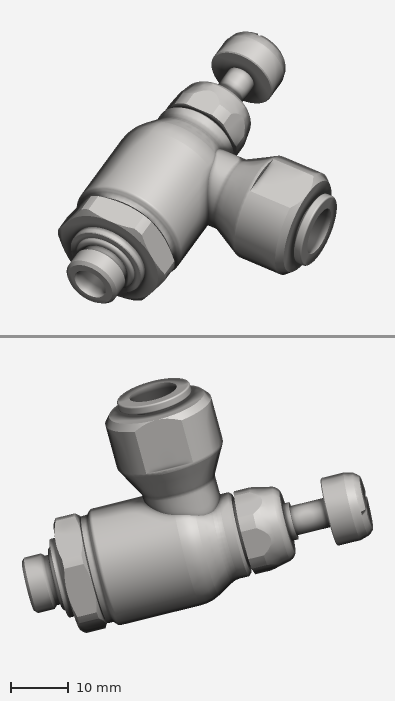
import cadquery as cq
import math


thread_radius = 4.95
thread_chamfer = 0.55
thread_relief_radius = 4.4
thread_top_y = 3.5
relief_start_y = thread_top_y + thread_radius - thread_relief_radius
seal_ring_radius = 5.0
seal_section_radius = 0.7
washer_radius = 7.0
washer_chamfer = 0.1
washer_y = 5.55

hex_flats = 19.1
hex_corner_radius = 10.6
hex_bottom_y = 7.0
hex_top_y = 11.7
hex_chamfer_angle = 30

groove_radius = 8.85
groove_top_y = 11.9
base_radius = 9.55
base_flare_angle = math.radians(48)
base_flare_fillet = 0.5
base_flare_round = 0.7
body_radius = 10.4
body_bottom_y = 14.05
body_top_y = 28.4
shoulder_angle = math.radians(30)
shoulder_round = 6.9
shoulder_fillet = 2.9
neck_radius = 7.5
neck_top_y = 38.2
neck_chamfer = 0.5

nut_groove_radius = 5.85
nut_flats = 14.1
nut_corner_radius = neck_radius
nut_bottom_y = 38.7
nut_taper_y = 41.5
nut_shoulder_radius = 6.6
nut_shoulder_y = 45.4
nut_crown_radius = 5.6
nut_top_y = 46.4
nut_crown_bulge = 0.1

collar_radius = 3.3
collar_top_y = 47.5
stem_radius = 2.6
stem_chamfer = 0.25
knob_radius = 6.05
knob_bottom_y = 53.85
knob_chamfer = 0.2
knob_taper_y = 58.0
knob_shoulder_radius = 5.6
knob_shoulder_y = 59.55
knob_crown_radius = 4.8
knob_crown_bulge = 0.05
knob_top_y = 60.5
slot_width = 0.85
slot_depth = 0.85

branch_y = 29.8
branch_radius = 6.55
flare_start_x = 11.25
flare_angle = math.radians(28)
flare_fillet = 1.2
socket_radius = 9.5
socket_chamfer_x = 25.35
socket_end_x = 26.5
socket_end_radius = 8.55
socket_flats = 17.05
release_neck_radius = 4.6
release_flange_x = 27.3
release_radius = 6.55
release_round = 0.3
branch_end_x = 28.8

port_bore_radius = 3.1
port_bore_end_y = 30.25
tube_bore_radius = 4.25
drill_half_angle = math.radians(59)


def bulged(start, end, bulge):
    """Point beside the middle of a chord, to its right when walking from start to end."""
    dx = end[0] - start[0]
    dy = end[1] - start[1]
    length = math.hypot(dx, dy)
    return (
        (start[0] + end[0]) / 2 + bulge * dy / length,
        (start[1] + end[1]) / 2 - bulge * dx / length,
    )


def blended_cone(start_radius, end_radius, angle, start_blend, end_blend):
    """Profile of a cone joined by tangent arcs to the cylinders before and after it.

    Returns (advance along the axis, radius) for the end of the first arc, the start
    of the second arc and the end of the second arc.
    """
    sense = math.copysign(1, end_radius - start_radius)
    rise = 1 - math.cos(angle)
    cone_start = (start_blend * math.sin(angle), start_radius + sense * start_blend * rise)
    cone_end_radius = end_radius - sense * end_blend * rise
    cone_length = abs(cone_end_radius - cone_start[1]) / math.tan(angle)
    cone_end = (cone_start[0] + cone_length, cone_end_radius)
    blend_end = (cone_end[0] + end_blend * math.sin(angle), end_radius)
    return cone_start, cone_end, blend_end


def turned(points):
    """Solid turned about Y from (radius, y) points running upwards."""
    closed = [(0, points[0][1])] + points + [(0, points[-1][1])]
    return cq.Workplane("XY").polyline(closed).close().revolve(360, (0, 0, 0), (0, 1, 0))


def hexagon(flats, bottom_y, top_y):
    """Hexagonal bar along Y with two of its flats facing +Z and -Z."""
    corner_diameter = flats / math.cos(math.radians(30))
    bar = cq.Workplane("XZ").polygon(6, corner_diameter).extrude(bottom_y - top_y)
    return bar.translate((0, bottom_y, 0))


def make_port():
    threaded_end = turned([
        (thread_radius - thread_chamfer, 0),
        (thread_radius, thread_chamfer),
        (thread_radius, thread_top_y),
        (thread_relief_radius, relief_start_y),
        (thread_relief_radius, washer_y),
        (washer_radius - washer_chamfer, washer_y),
        (washer_radius, washer_y + washer_chamfer),
        (washer_radius, hex_bottom_y),
    ])
    seal = (
        cq.Workplane("XY")
        .center(seal_ring_radius, washer_y)
        .circle(seal_section_radius)
        .revolve(360, (-seal_ring_radius, 0, 0), (-seal_ring_radius, 1, 0))
    )
    return threaded_end.union(seal)


def make_mounting_hex():
    face_radius = hex_flats / 2
    rise = (hex_corner_radius - face_radius) * math.tan(math.radians(hex_chamfer_angle))
    envelope = turned([
        (face_radius, hex_bottom_y),
        (hex_corner_radius, hex_bottom_y + rise),
        (hex_corner_radius, hex_top_y - rise),
        (face_radius, hex_top_y),
    ])
    return hexagon(hex_flats, hex_bottom_y, hex_top_y).intersect(envelope)


def make_body():
    flare = blended_cone(
        base_radius, body_radius, base_flare_angle, base_flare_fillet, base_flare_round
    )
    flare_bottom_y = body_bottom_y - flare[-1][0]
    flare_start, flare_end, body_bottom = [(radius, flare_bottom_y + dy) for dy, radius in flare]
    shoulder = blended_cone(
        body_radius, neck_radius, shoulder_angle, shoulder_round, shoulder_fillet
    )
    cone_bottom, cone_top, neck_bottom = [(radius, body_top_y + dy) for dy, radius in shoulder]
    return (
        cq.Workplane("XY")
        .moveTo(0, hex_top_y)
        .lineTo(groove_radius, hex_top_y)
        .lineTo(groove_radius, groove_top_y)
        .lineTo(base_radius, groove_top_y)
        .lineTo(base_radius, flare_bottom_y)
        .tangentArcPoint(flare_start, relative=False)
        .lineTo(*flare_end)
        .tangentArcPoint(body_bottom, relative=False)
        .lineTo(body_radius, body_top_y)
        .tangentArcPoint(cone_bottom, relative=False)
        .lineTo(*cone_top)
        .tangentArcPoint(neck_bottom, relative=False)
        .lineTo(neck_radius, neck_top_y - neck_chamfer)
        .lineTo(neck_radius - neck_chamfer, neck_top_y)
        .lineTo(nut_groove_radius, neck_top_y)
        .lineTo(nut_groove_radius, nut_bottom_y)
        .lineTo(0, nut_bottom_y)
        .close()
        .revolve(360, (0, 0, 0), (0, 1, 0))
    )


def make_gland_nut():
    shoulder = (nut_shoulder_radius, nut_shoulder_y)
    crown = (nut_crown_radius, nut_top_y)
    envelope = (
        cq.Workplane("XY")
        .moveTo(0, nut_bottom_y)
        .lineTo(nut_corner_radius, nut_bottom_y)
        .lineTo(nut_corner_radius, nut_taper_y)
        .lineTo(*shoulder)
        .threePointArc(bulged(shoulder, crown, nut_crown_bulge), crown)
        .lineTo(0, nut_top_y)
        .close()
        .revolve(360, (0, 0, 0), (0, 1, 0))
    )
    return hexagon(nut_flats, nut_bottom_y, nut_top_y).intersect(envelope)


def make_stem():
    return turned([
        (collar_radius, nut_top_y),
        (collar_radius, collar_top_y),
        (stem_radius, collar_top_y),
        (stem_radius, knob_bottom_y - stem_chamfer),
        (stem_radius - stem_chamfer, knob_bottom_y),
    ])


def make_knob():
    shoulder = (knob_shoulder_radius, knob_shoulder_y)
    crown = (knob_crown_radius, knob_top_y)
    knob = (
        cq.Workplane("XY")
        .moveTo(0, knob_bottom_y)
        .lineTo(knob_radius - knob_chamfer, knob_bottom_y)
        .lineTo(knob_radius, knob_bottom_y + knob_chamfer)
        .lineTo(knob_radius, knob_taper_y)
        .lineTo(*shoulder)
        .threePointArc(bulged(shoulder, crown, knob_crown_bulge), crown)
        .lineTo(0, knob_top_y)
        .close()
        .revolve(360, (0, 0, 0), (0, 1, 0))
    )
    slot = cq.Workplane("XY").box(slot_width, 2 * slot_depth, 2 * knob_radius)
    return knob.cut(slot.translate((0, knob_top_y, 0)))


def make_branch():
    flare = blended_cone(
        branch_radius, socket_radius, flare_angle, flare_fillet, flare_fillet
    )
    cone_start, cone_end, socket_start = [(flare_start_x + dx, radius) for dx, radius in flare]
    socket_start_x = socket_start[0]
    stub_and_socket = (
        cq.Workplane("XY")
        .lineTo(0, branch_radius)
        .lineTo(flare_start_x, branch_radius)
        .tangentArcPoint(cone_start, relative=False)
        .lineTo(*cone_end)
        .tangentArcPoint(socket_start, relative=False)
        .lineTo(socket_chamfer_x, socket_radius)
        .lineTo(socket_end_x, socket_end_radius)
        .lineTo(socket_end_x, 0)
        .close()
        .revolve(360, (0, 0, 0), (1, 0, 0))
    )
    flat_length = socket_end_x - socket_start_x
    for side in (-1, 1):
        waste = cq.Workplane("XY").box(flat_length, 2 * socket_radius, socket_radius)
        waste_z = side * (socket_flats + socket_radius) / 2
        stub_and_socket = stub_and_socket.cut(
            waste.translate((socket_start_x + flat_length / 2, 0, waste_z))
        )
    ring_neck = (
        cq.Workplane("YZ", origin=(socket_end_x, 0, 0))
        .circle(release_neck_radius)
        .extrude(release_flange_x - socket_end_x)
    )
    ring_flange = (
        cq.Workplane("YZ", origin=(release_flange_x, 0, 0))
        .circle(release_radius)
        .extrude(branch_end_x - release_flange_x)
        .edges()
        .fillet(release_round)
    )
    branch = stub_and_socket.union(ring_neck).union(ring_flange)
    return branch.translate((0, branch_y, 0))


def make_passages():
    port_tip_y = port_bore_end_y + port_bore_radius / math.tan(drill_half_angle)
    port_bore = (
        cq.Workplane("XY")
        .lineTo(port_bore_radius, 0)
        .lineTo(port_bore_radius, port_bore_end_y)
        .lineTo(0, port_tip_y)
        .close()
        .revolve(360, (0, 0, 0), (0, 1, 0))
    )
    tube_tip_x = -tube_bore_radius / math.tan(drill_half_angle)
    tube_bore = (
        cq.Workplane("XY")
        .moveTo(tube_tip_x, 0)
        .lineTo(0, tube_bore_radius)
        .lineTo(branch_end_x, tube_bore_radius)
        .lineTo(branch_end_x, 0)
        .close()
        .revolve(360, (0, 0, 0), (1, 0, 0))
        .translate((0, branch_y, 0))
    )
    return port_bore.union(tube_bore)


result = make_port()
for component in (
    make_mounting_hex(),
    make_body(),
    make_gland_nut(),
    make_stem(),
    make_knob(),
    make_branch(),
):
    result = result.union(component)
result = result.cut(make_passages())